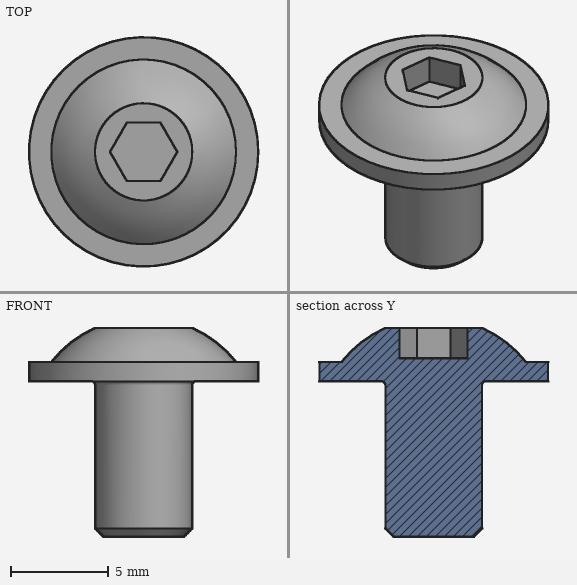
import cadquery as cq
import math

flange_diameter = 11.8
flange_thickness = 1.0
dome_base_diameter = 9.5
dome_height = 1.75
shank_diameter = 5.0
shank_length = 8.0
tip_chamfer = 0.44
neck_fillet = 0.2
socket_across_flats = 3.0
socket_depth = 1.56

flange_radius = flange_diameter / 2
dome_base_radius = dome_base_diameter / 2
shank_radius = shank_diameter / 2
crown_radius = shank_radius
flange_top = shank_length + flange_thickness
head_top = flange_top + dome_height

sphere_drop = (dome_base_radius**2 - crown_radius**2 - dome_height**2) / (2 * dome_height)
sphere_radius = math.hypot(dome_base_radius, sphere_drop)
socket_across_corners = socket_across_flats / math.cos(math.radians(30))

flange = cq.Workplane("XY").workplane(offset=shank_length).circle(flange_radius).extrude(flange_thickness)
dome = (
    cq.Workplane("XZ")
    .moveTo(0, flange_top)
    .lineTo(dome_base_radius, flange_top)
    .radiusArc((crown_radius, head_top), -sphere_radius)
    .lineTo(0, head_top)
    .close()
    .revolve(360, (0, 0), (0, 1))
)

shank = cq.Workplane("XY").circle(shank_radius).extrude(shank_length).faces("<Z").chamfer(tip_chamfer)
body = flange.union(shank)
flange_underside_edges = body.faces("-Z").faces(">Z").edges("%CIRCLE")
body = flange_underside_edges.edges(cq.selectors.RadiusNthSelector(0)).fillet(neck_fillet)

socket = (
    cq.Workplane("XY")
    .workplane(offset=head_top - socket_depth)
    .polygon(6, socket_across_corners)
    .extrude(socket_depth)
)

result = body.union(dome).cut(socket)